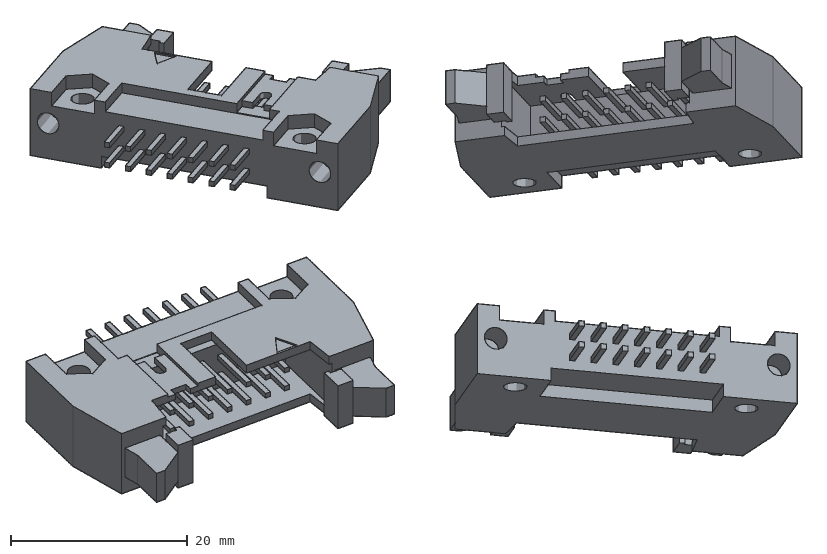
import cadquery as cq
import math

WIDTH = 37.4
HEIGHT = 8.5
HALF_WIDTH = WIDTH / 2
SIDE_LENGTH = 10.02
TOWER_TOP = 17.4
TOWER_OUTER_X = 16.8
TOWER_INNER_X = 10.9
RIM_INNER_X = 10.55
RIM_Y = 13.85

WALL = 1.12
CAVITY_FLOOR_Y = 7.4
CAVITY_HALF_WIDTH = 11.25

RECESS_LENGTH = 5.1
TOP_RECESS_WIDTH = 19.15
TOP_RECESS_DEPTH = 1.25
BOTTOM_RECESS_WIDTH = 20.12
BOTTOM_RECESS_DEPTH = 1.5

HOLE_DIAMETER = 2.6
MOUNT_X = 13.5
MOUNT_Y = 2.95
NUT_ACROSS_FLATS = 5.2
NUT_DEPTH = 1.72
END_HOLE_X = 16.53
END_HOLE_Z = 4.5
END_HOLE_DEPTH = 3.75

NOTCH_WIDTH = 4.1
NOTCH_START_Y = 6.4

CHANNEL_X = 6.4
CHANNEL_WIDTH = 3.95
CHANNEL_DEPTH = 0.37
CHANNEL_STEP_Y = 6.7
WINDOW_WIDTH = 2.0
WINDOW_LENGTH = 0.97
SLOT_WIDTH = 1.35
SLOT_END_Y = 9.65

PIN_COLUMNS = 7
PIN_PITCH = 2.55
PIN_SIZE = 0.65
PIN_TAIL = 4.4
PIN_TIP_Y = 13.58
PIN_CENTRE_Z = 4.23

MARK_WIDTH = 2.6
MARK_LENGTH = 2.45
MARK_DEPTH = 0.2

LATCH_THICKNESS = 4.08
LATCH_TOP = 23.38
LATCH_INNER_X = 11.67
LATCH_SHOULDER_Y = 21.25
LATCH_TIP_INNER_X = 14.75
LATCH_OUTER_X = 15.85
LATCH_FLARE_Y = 19.3
LATCH_FLARE_X = 16.35
HOOK_HEIGHT = 6.02
HOOK_INNER_X = 9.65
HOOK_BASE_Y = 18.65
HOOK_LIP_WIDTH = 0.65
HOOK_LIP_LENGTH = 0.37


def block(x_range, y_range, z_range):
    """Box given by its limits along the three axes."""
    (x0, x1), (y0, y1), (z0, z1) = x_range, y_range, z_range
    return cq.Workplane("XY").box(x1 - x0, y1 - y0, z1 - z0, centered=False).translate((x0, y0, z0))


def centred(width, centre=0.0):
    """Limits of a span of the given width about a centre."""
    return centre - width / 2, centre + width / 2


def plate(points, z_range):
    """Closed outline in X and Y raised between two heights."""
    z0, z1 = z_range
    return cq.Workplane("XY").workplane(offset=z0).polyline(points).close().extrude(z1 - z0)


def with_mirror(shape):
    """Shape together with its mirror image across X = 0."""
    return shape.union(shape.mirror("YZ"))


def housing_body():
    right_side = [
        (HALF_WIDTH, 0),
        (HALF_WIDTH, SIDE_LENGTH),
        (TOWER_OUTER_X, TOWER_TOP),
        (TOWER_INNER_X, TOWER_TOP),
        (RIM_INNER_X, RIM_Y),
    ]
    left_side = [(-x, y) for x, y in reversed(right_side)]
    return plate(right_side + left_side, (0, HEIGHT))


def mating_cavity():
    return block(
        centred(2 * CAVITY_HALF_WIDTH),
        (CAVITY_FLOOR_Y, TOWER_TOP),
        (WALL, HEIGHT - WALL),
    )


def end_recesses():
    y_range = (0, RECESS_LENGTH)
    top = block(centred(TOP_RECESS_WIDTH), y_range, (HEIGHT - TOP_RECESS_DEPTH, HEIGHT))
    bottom = block(centred(BOTTOM_RECESS_WIDTH), y_range, (0, BOTTOM_RECESS_DEPTH))
    return top.union(bottom)


def mounting_cuts():
    """Mounting holes, open-ended hexagonal nut pockets and blind end holes."""
    half_flats = NUT_ACROSS_FLATS / 2
    shoulder_y = MOUNT_Y + half_flats / math.sqrt(3)
    apex_y = MOUNT_Y + 2 * half_flats / math.sqrt(3)
    pocket_outline = [
        (MOUNT_X - half_flats, 0),
        (MOUNT_X + half_flats, 0),
        (MOUNT_X + half_flats, shoulder_y),
        (MOUNT_X, apex_y),
        (MOUNT_X - half_flats, shoulder_y),
    ]
    pocket = plate(pocket_outline, (HEIGHT - NUT_DEPTH, HEIGHT))
    radius = HOLE_DIAMETER / 2
    mount_hole = cq.Workplane("XY").center(MOUNT_X, MOUNT_Y).circle(radius).extrude(HEIGHT)
    end_hole = cq.Workplane("XZ").center(END_HOLE_X, END_HOLE_Z).circle(radius).extrude(-END_HOLE_DEPTH)
    return with_mirror(pocket.union(mount_hole).union(end_hole))


def polarising_notch():
    return block(centred(NOTCH_WIDTH), (NOTCH_START_Y, RIM_Y), (HEIGHT - WALL, HEIGHT))


def stepped_channel():
    """Shallow channel with a deep foot, a rim window and a round-ended slot."""
    through_wall = (HEIGHT - WALL, HEIGHT)
    span = centred(CHANNEL_WIDTH, CHANNEL_X)
    shallow = block(span, (RECESS_LENGTH, RIM_Y), (HEIGHT - CHANNEL_DEPTH, HEIGHT))
    foot = block(span, (RECESS_LENGTH, CHANNEL_STEP_Y), through_wall)
    window = block(centred(WINDOW_WIDTH, CHANNEL_X), (RIM_Y - WINDOW_LENGTH, RIM_Y), through_wall)
    slot_radius = SLOT_WIDTH / 2
    arc_y = SLOT_END_Y - slot_radius
    slot = (
        cq.Workplane("XY")
        .workplane(offset=HEIGHT - WALL)
        .moveTo(CHANNEL_X - slot_radius, CHANNEL_STEP_Y)
        .lineTo(CHANNEL_X + slot_radius, CHANNEL_STEP_Y)
        .lineTo(CHANNEL_X + slot_radius, arc_y)
        .threePointArc((CHANNEL_X, SLOT_END_Y), (CHANNEL_X - slot_radius, arc_y))
        .close()
        .extrude(WALL)
    )
    return shallow.union(foot).union(window).union(slot)


def pin_one_mark():
    """Engraved triangle in line with the first column of pins."""
    mark_x = -PIN_PITCH * (PIN_COLUMNS - 1) / 2
    base_y = PIN_TIP_Y
    left, right = centred(MARK_WIDTH, mark_x)
    outline = [(left, base_y), (right, base_y), (mark_x, base_y - MARK_LENGTH)]
    return plate(outline, (HEIGHT - MARK_DEPTH, HEIGHT))


def pins():
    length = PIN_TAIL + PIN_TIP_Y
    return (
        cq.Workplane("XZ", origin=(0, -PIN_TAIL, PIN_CENTRE_Z))
        .rarray(PIN_PITCH, PIN_PITCH, PIN_COLUMNS, 2)
        .rect(PIN_SIZE, PIN_SIZE)
        .extrude(-length)
    )


def latches():
    """Pair of levers standing on the towers, each with an inward hook."""
    lever_outline = [
        (LATCH_INNER_X, TOWER_TOP),
        (LATCH_INNER_X, LATCH_SHOULDER_Y),
        (LATCH_TIP_INNER_X, LATCH_TOP),
        (LATCH_OUTER_X, LATCH_TOP),
        (LATCH_OUTER_X, LATCH_FLARE_Y),
        (LATCH_FLARE_X, TOWER_TOP),
    ]
    lip_x = HOOK_INNER_X + HOOK_LIP_WIDTH
    lip_y = HOOK_BASE_Y - HOOK_LIP_LENGTH
    hook_outline = [
        (LATCH_INNER_X, LATCH_SHOULDER_Y),
        (HOOK_INNER_X, LATCH_SHOULDER_Y),
        (HOOK_INNER_X, lip_y),
        (lip_x, lip_y),
        (lip_x, HOOK_BASE_Y),
        (LATCH_INNER_X, HOOK_BASE_Y),
    ]
    lever = plate(lever_outline, centred(LATCH_THICKNESS, HEIGHT / 2))
    hook = plate(hook_outline, centred(HOOK_HEIGHT, HEIGHT / 2))
    return with_mirror(lever.union(hook))


housing = (
    housing_body()
    .cut(mating_cavity())
    .cut(end_recesses())
    .cut(mounting_cuts())
    .cut(polarising_notch())
    .cut(stepped_channel())
    .cut(pin_one_mark())
)

result = housing.union(pins()).union(latches())